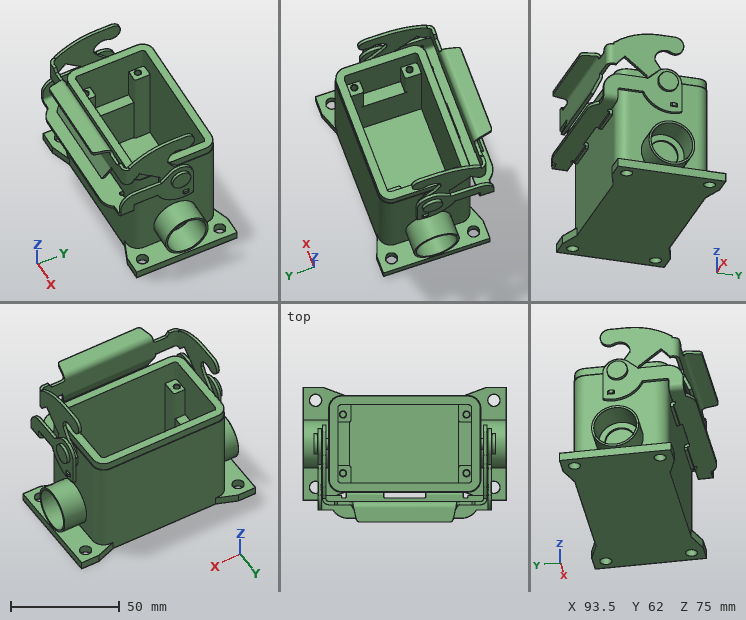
import cadquery as cq
import math


body_length = 70.0
body_width = 44.5
body_corner_radius = 6.0
rim_inset = 0.3
shoulder_height = 53.0
body_height = 57.0
cavity_length = 61.5
cavity_width = 36.0
cavity_corner_radius = 1.5
floor_thickness = 4.0
wall_overlap = 1.0

flange_length = 93.5
flange_width = 52.0
flange_thickness = 4.0
ear_taper_outer_x = 37.5
ear_taper_inner_x = 27.5
mount_hole_x = 41.0
mount_hole_y = 20.0
mount_hole_diameter = 5.5

entry_z = 16.0
entry_outer_radius = 11.0
entry_bore_radius = 10.0
entry_knockout_radius = 7.0
entry_bore_depth = 12.75
knockout_depth = 1.0

pillar_length = 6.0
pillar_width = 8.0
pillar_height = 45.5
pillar_corner_radius = 1.0
screw_hole_x = 28.4
screw_hole_y = 13.5
screw_hole_diameter = 2.8
screw_hole_depth = 12.0
screw_hole_chamfer = 0.25
ledge_height = 29.0
ledge_depth_left = 5.3
ledge_depth_right = pillar_length

sheet = 1.5
bend_outer_radius = 3.0
bend_inner_radius = bend_outer_radius - sheet
pivot_z = 50.0
pivot_pin_radius = 2.5
pivot_head_radius = 4.75
pivot_head_inner_x = 40.2
pivot_head_outer_x = 41.7

lower_half_span = 39.8
lower_base_z = 37.7
lower_eye_radius = 7.0
lower_heel_z = 36.2
lower_arm_top_z = 51.0
lower_arm_bottom_z = 43.8
lower_arm_start_y = -9.5
lower_belly_point = (-2.9, 36.1)
lower_belly_end_y = -11.5
lower_elbow_radius = 7.6
lower_elbow_inner_radius = 0.5
lower_back_y = -23.7
lower_front_y = -30.5
lower_grip_y = -34.3
lower_grip_start_x = 33.0
lower_grip_flat_x = 26.5
lower_grip_mid_point = (30.2, -33.1)
tab_inner_x = 9.6
tab_outer_x = 26.9
tab_bottom_z = 36.5
tab_bend_radius = 1.4
tab_chamfer = 0.9
relief_width = 2.1
relief_depth = 1.1
relief_radius = 0.5
stop_y = 3.2
stop_z = 39.0
stop_length = 3.2
stop_height = 1.5
stop_projection = 0.9
stop_back_chamfer_width = 0.8
stop_front_chamfer = 0.5

upper_half_span = 37.8
upper_front_y = -28.0
upper_inner_y = upper_front_y + sheet
upper_band_bottom_z = 57.2
upper_band_top_z = 67.2
hook_top_z = 75.0
hook_nose_radius = 4.3
hook_nose_y = 4.3
hook_back_start_y = -3.5
hook_back_radius = 36.5
throat_radius = 5.3
throat_centre = (0.1, 62.2)
throat_end = (-5.2, 61.6)
neck_point = (-2.7, 57.9)
crotch_y = -9.3
crotch_z = 53.3
gap_peak = (-19.8, 61.6)
gap_foot = (-22.7, 58.6)
gap_foot_end_y = -23.7
upper_eye_bottom_z = 40.0
upper_eye_left_y = 5.5
upper_eye_start_z = 48.0

dip_outer_x = 32.3
dip_inner_x = 30.9
dip_z = 65.2
lip_root_outer_x = 25.2
lip_root_x = 23.8
lip_tip_x = 22.0
lip_tip_y = -35.98
lip_corner_radius = 1.7
lip_bend_inner_radius = 1.6
lip_top_z = 68.5
flap_root_x = 25.1
flap_tip_x = 22.3
flap_bend_z = 55.5
flap_bottom_z = 47.7
flap_angle = 25.0
flap_corner_radius = 1.0
flap_bend_radius = 1.5


def both_sides(shape):
    """Return the shape joined with its mirror image across the YZ plane."""
    return shape.union(shape.mirror("YZ"))


def block(x0, x1, y0, y1, z0, z1):
    """Return an axis-aligned block between two corners."""
    return cq.Workplane("XY").box(x1 - x0, y1 - y0, z1 - z0, centered=False).translate((x0, y0, z0))


def cylinder_x(radius, x0, x1, z):
    """Return a cylinder along X, centred on Y = 0 at height z."""
    return cq.Workplane("YZ", origin=(x0, 0, 0)).center(0, z).circle(radius).extrude(x1 - x0)


def rounded_prism(length, width, z0, z1, radius):
    """Return an upright prism with rounded vertical edges."""
    prism = cq.Workplane("XY", origin=(0, 0, z0)).rect(length, width).extrude(z1 - z0)
    return prism.edges("|Z").fillet(radius)


def make_flange():
    half_length = flange_length / 2
    half_width = flange_width / 2
    corner = [
        (half_length, half_width),
        (ear_taper_outer_x, half_width),
        (ear_taper_inner_x, body_width / 2),
    ]
    back = corner + [(-x, y) for x, y in reversed(corner)]
    front = [(-x, -y) for x, y in back]
    plate = cq.Workplane("XY").polyline(back + front).close().extrude(flange_thickness)
    holes = (
        cq.Workplane("XY")
        .rect(2 * mount_hole_x, 2 * mount_hole_y, forConstruction=True)
        .vertices()
        .circle(mount_hole_diameter / 2)
        .extrude(flange_thickness)
    )
    return plate.cut(holes)


def make_cavity():
    """Return the hollow of the housing, leaving the corner pillars and end ledges standing."""
    half_length = cavity_length / 2
    half_width = cavity_width / 2
    cavity = rounded_prism(cavity_length, cavity_width, floor_thickness, body_height, cavity_corner_radius)
    for side, ledge_depth in ((-1, ledge_depth_left), (1, ledge_depth_right)):
        ledge = block(half_length - ledge_depth, half_length, -half_width, half_width, 0, ledge_height)
        cavity = cavity.cut(ledge if side > 0 else ledge.mirror("YZ"))
    pillar = block(
        half_length - pillar_length,
        half_length,
        half_width - pillar_width,
        half_width,
        0,
        pillar_height,
    )
    pillar = pillar.edges("|Z and <X and <Y").fillet(pillar_corner_radius)
    pillars = both_sides(pillar)
    pillars = pillars.union(pillars.mirror("XZ"))
    return cavity.cut(pillars)


def make_housing():
    lower = rounded_prism(body_length, body_width, 0, shoulder_height, body_corner_radius)
    rim = rounded_prism(
        body_length - 2 * rim_inset,
        body_width - 2 * rim_inset,
        0,
        body_height,
        body_corner_radius - rim_inset,
    )
    entry_end = flange_length / 2
    entries = both_sides(cylinder_x(entry_outer_radius, body_length / 2 - wall_overlap, entry_end, entry_z))
    bore_floor = entry_end - entry_bore_depth
    bores = both_sides(cylinder_x(entry_bore_radius, bore_floor, entry_end, entry_z))
    knockouts = both_sides(
        cylinder_x(entry_knockout_radius, bore_floor - knockout_depth, entry_end, entry_z)
    )
    housing = lower.union(rim).union(make_flange()).union(entries)
    housing = housing.cut(make_cavity()).cut(bores).cut(knockouts)
    return housing.cut(make_screw_holes())


def make_screw_holes():
    radius = screw_hole_diameter / 2
    mouth = radius + screw_hole_chamfer
    profile = [
        (0, pillar_height),
        (mouth, pillar_height),
        (radius, pillar_height - screw_hole_chamfer),
        (radius, pillar_height - screw_hole_depth),
        (0, pillar_height - screw_hole_depth),
    ]
    hole = cq.Workplane("XZ").polyline(profile).close().revolve(360, (0, 0), (0, 1))
    holes = both_sides(hole.translate((screw_hole_x, screw_hole_y, 0)))
    return holes.union(holes.mirror("XZ"))


def make_pivots():
    pin = cylinder_x(pivot_pin_radius, body_length / 2 - wall_overlap, pivot_head_outer_x, pivot_z)
    head = cylinder_x(pivot_head_radius, pivot_head_inner_x, pivot_head_outer_x, pivot_z)
    return both_sides(pin.union(head))


def lower_side_profile():
    """Draw the lower lever's cheek, down to the bend into its bottom plate."""
    reach_y = -lower_arm_start_y
    reach_z = lower_arm_top_z - pivot_z
    reach = math.hypot(reach_y, reach_z)
    tangent = math.atan2(reach_y, reach_z) - math.acos(lower_eye_radius / reach)
    tangent_point = (
        -lower_eye_radius * math.sin(tangent),
        pivot_z + lower_eye_radius * math.cos(tangent),
    )
    bend_top_z = lower_base_z + bend_outer_radius
    elbow_y = lower_front_y + lower_elbow_radius
    return (
        cq.Workplane("YZ", origin=(lower_half_span - sheet, 0, 0))
        .moveTo(lower_eye_radius, lower_heel_z)
        .lineTo(lower_eye_radius, pivot_z)
        .threePointArc((0, pivot_z + lower_eye_radius), tangent_point)
        .lineTo(lower_arm_start_y, lower_arm_top_z)
        .lineTo(elbow_y, lower_arm_top_z)
        .tangentArcPoint((lower_front_y, lower_arm_top_z - lower_elbow_radius), relative=False)
        .lineTo(lower_front_y, bend_top_z)
        .lineTo(lower_back_y, bend_top_z)
        .lineTo(lower_back_y, lower_arm_bottom_z - lower_elbow_inner_radius)
        .radiusArc(
            (lower_back_y + lower_elbow_inner_radius, lower_arm_bottom_z), -lower_elbow_inner_radius
        )
        .lineTo(lower_belly_end_y, lower_arm_bottom_z)
        .threePointArc(lower_belly_point, (lower_eye_radius, lower_heel_z))
        .close()
    )


def make_lower_tab():
    """Return one tab bent down from the back edge of the lower lever's bottom plate."""
    tab = block(
        tab_inner_x, tab_outer_x, lower_back_y, -body_width / 2, tab_bottom_z, lower_base_z + sheet
    )
    tab = tab.edges("|X and >Y and >Z").fillet(tab_bend_radius)
    return tab.edges("|Y and <X and <Z").chamfer(tab_chamfer)


def make_lower_stop():
    """Return the small stop that stands out from the lower lever's cheek."""
    inner_x = lower_half_span - sheet
    outer_x = lower_half_span + stop_projection
    front_y = stop_y - stop_length / 2
    back_y = stop_y + stop_length / 2
    outline = [
        (inner_x, front_y),
        (outer_x - stop_front_chamfer, front_y),
        (outer_x, front_y + stop_front_chamfer),
        (outer_x, back_y - stop_back_chamfer_width),
        (lower_half_span, back_y),
        (inner_x, back_y),
    ]
    bottom = cq.Workplane("XY", origin=(0, 0, stop_z - stop_height / 2))
    return bottom.polyline(outline).close().extrude(stop_height)


def make_lower_lever():
    cheeks = both_sides(lower_side_profile().extrude(sheet))
    plate_top = lower_base_z + sheet
    channel = block(-lower_half_span, lower_half_span, lower_front_y, lower_back_y, lower_base_z, pivot_z)
    channel = channel.edges("|Y and <Z").fillet(bend_outer_radius)
    inside_span = lower_half_span - sheet
    inside = block(-inside_span, inside_span, lower_front_y, lower_back_y, plate_top, pivot_z)
    inside = inside.edges("|Y and <Z").fillet(bend_inner_radius)
    below_bend = block(
        -lower_half_span,
        lower_half_span,
        lower_front_y,
        lower_back_y,
        lower_base_z,
        lower_base_z + bend_outer_radius,
    )
    trough = channel.cut(inside).intersect(below_bend)
    grip_mid_x, grip_mid_y = lower_grip_mid_point
    grip = (
        cq.Workplane("XY", origin=(0, 0, lower_base_z))
        .moveTo(-lower_grip_start_x, lower_front_y)
        .threePointArc((-grip_mid_x, grip_mid_y), (-lower_grip_flat_x, lower_grip_y))
        .lineTo(lower_grip_flat_x, lower_grip_y)
        .threePointArc((grip_mid_x, grip_mid_y), (lower_grip_start_x, lower_front_y))
        .close()
        .extrude(sheet)
    )
    relief_y = lower_back_y - relief_depth
    slot = block(-tab_inner_x, tab_inner_x, relief_y, lower_back_y, lower_base_z, plate_top)
    notch = block(tab_outer_x, tab_outer_x + relief_width, relief_y, lower_back_y, lower_base_z, plate_top)
    reliefs = both_sides(notch).union(slot).edges("|Z and <Y").fillet(relief_radius)
    lever = cheeks.union(trough).union(grip).cut(reliefs)
    return lever.union(both_sides(make_lower_tab())).union(both_sides(make_lower_stop()))


def upper_side_profile():
    """Draw the upper lever's hooked cheek, up to the start of the front bend."""
    bend_y = upper_front_y + bend_outer_radius
    nose_z = hook_top_z - hook_nose_radius
    throat_y, throat_z = throat_centre
    run_y = throat_y - hook_nose_y
    run_z = throat_z - nose_z
    distance = math.hypot(run_y, run_z)
    meet = (
        hook_nose_y + run_y / distance * hook_nose_radius,
        nose_z + run_z / distance * hook_nose_radius,
    )
    throat_top = (throat_y, throat_z + throat_radius)
    back_run = hook_back_start_y - bend_y
    back_end_z = hook_top_z - hook_back_radius + math.sqrt(hook_back_radius**2 - back_run**2)
    eye_middle_y = (crotch_y + upper_eye_left_y) / 2
    return (
        cq.Workplane("YZ", origin=(upper_half_span - sheet, 0, 0))
        .moveTo(hook_back_start_y, hook_top_z)
        .lineTo(hook_nose_y, hook_top_z)
        .threePointArc((hook_nose_y + hook_nose_radius, nose_z), meet)
        .threePointArc(throat_top, throat_end)
        .lineTo(*neck_point)
        .lineTo(upper_eye_left_y, pivot_z)
        .lineTo(upper_eye_left_y, upper_eye_start_z)
        .threePointArc((eye_middle_y, upper_eye_bottom_z), (crotch_y, upper_eye_start_z))
        .lineTo(crotch_y, crotch_z)
        .lineTo(*gap_peak)
        .lineTo(*gap_foot)
        .lineTo(gap_foot_end_y, upper_band_bottom_z)
        .lineTo(bend_y, upper_band_bottom_z)
        .lineTo(bend_y, back_end_z)
        .radiusArc((hook_back_start_y, hook_top_z), hook_back_radius)
        .close()
    )


def make_upper_band():
    """Return the front band with its two bent ends and the dip in its top edge."""
    bend_y = upper_front_y + bend_outer_radius
    outer = block(
        -upper_half_span, upper_half_span, upper_front_y, 0, upper_band_bottom_z, upper_band_top_z
    )
    outer = outer.edges("|Z and <Y").fillet(bend_outer_radius)
    inside_span = upper_half_span - sheet
    inner = block(-inside_span, inside_span, upper_inner_y, 0, upper_band_bottom_z, upper_band_top_z)
    inner = inner.edges("|Z and <Y").fillet(bend_inner_radius)
    behind_bend = block(
        -upper_half_span, upper_half_span, bend_y, 0, upper_band_bottom_z, upper_band_top_z
    )
    dip = (
        cq.Workplane("XZ", origin=(0, bend_y, 0))
        .polyline([
            (-dip_outer_x, upper_band_top_z),
            (-dip_inner_x, dip_z),
            (dip_inner_x, dip_z),
            (dip_outer_x, upper_band_top_z),
        ])
        .close()
        .extrude(bend_outer_radius)
    )
    return outer.cut(inner).cut(behind_bend).cut(dip)


def make_lip():
    """Return the grip lip that bends forward from the top of the front band."""
    bend_radius = lip_bend_inner_radius + sheet
    centre_y = upper_front_y - lip_bend_inner_radius
    centre_z = lip_top_z - bend_radius
    underside_z = lip_top_z - sheet
    section = (
        cq.Workplane("YZ", origin=(-lip_root_outer_x, 0, 0))
        .moveTo(upper_inner_y, dip_z)
        .lineTo(upper_inner_y, centre_z)
        .radiusArc((centre_y, lip_top_z), -bend_radius)
        .lineTo(lip_tip_y, lip_top_z)
        .lineTo(lip_tip_y, underside_z)
        .lineTo(centre_y, underside_z)
        .radiusArc((upper_front_y, centre_z), lip_bend_inner_radius)
        .lineTo(upper_front_y, dip_z)
        .close()
        .extrude(2 * lip_root_outer_x)
    )
    plan = (
        cq.Workplane("XY", origin=(0, 0, dip_z))
        .polyline([
            (-lip_root_x, upper_inner_y),
            (lip_root_x, upper_inner_y),
            (lip_root_x, upper_front_y),
            (lip_tip_x, lip_tip_y),
            (-lip_tip_x, lip_tip_y),
            (-lip_root_x, upper_front_y),
        ])
        .close()
        .extrude(lip_top_z - dip_z)
        .edges("|Z and <Y")
        .fillet(lip_corner_radius)
    )
    root_width = lip_root_outer_x - lip_root_x
    gusset = (
        cq.Workplane("XZ", origin=(0, upper_inner_y, 0))
        .moveTo(lip_root_x, dip_z)
        .lineTo(lip_root_outer_x, dip_z)
        .radiusArc((lip_root_x, dip_z + root_width), root_width)
        .close()
        .extrude(sheet)
        .intersect(section)
    )
    return section.intersect(plan).union(both_sides(gusset))


def make_flap():
    """Return the spring flap that hangs, tilted forward, below the front band."""
    tilt = math.radians(flap_angle)
    drop = flap_bend_z - flap_bottom_z
    tip_inner = (upper_inner_y - drop * math.tan(tilt), flap_bottom_z)
    tip_outer = (tip_inner[0] - sheet * math.cos(tilt), tip_inner[1] + sheet * math.sin(tilt))
    outer_bend_z = flap_bend_z + sheet * math.tan(tilt / 2)
    section = (
        cq.Workplane("YZ", origin=(-flap_root_x, 0, 0))
        .polyline([
            (upper_inner_y, upper_band_bottom_z),
            (upper_inner_y, flap_bend_z),
            tip_inner,
            tip_outer,
            (upper_front_y, outer_bend_z),
            (upper_front_y, upper_band_bottom_z),
        ])
        .close()
        .extrude(2 * flap_root_x)
    )
    inner_bend = cq.selectors.NearestToPointSelector((0, upper_inner_y, flap_bend_z))
    outer_bend = cq.selectors.NearestToPointSelector((0, upper_front_y, outer_bend_z))
    section = section.edges(inner_bend).fillet(flap_bend_radius + sheet)
    section = section.edges(outer_bend).fillet(flap_bend_radius)
    front_depth = upper_inner_y - tip_outer[0]
    outline = (
        cq.Workplane("XZ", origin=(0, upper_inner_y, 0))
        .polyline([
            (-flap_root_x, upper_band_bottom_z),
            (flap_root_x, upper_band_bottom_z),
            (flap_tip_x, flap_bottom_z),
            (-flap_tip_x, flap_bottom_z),
        ])
        .close()
        .extrude(front_depth)
        .edges("|Y and <Z")
        .fillet(flap_corner_radius)
    )
    return section.intersect(outline)


def make_upper_lever():
    cheeks = both_sides(upper_side_profile().extrude(sheet))
    return cheeks.union(make_upper_band()).union(make_lip()).union(make_flap())


result = make_housing().union(make_pivots()).union(make_lower_lever()).union(make_upper_lever())